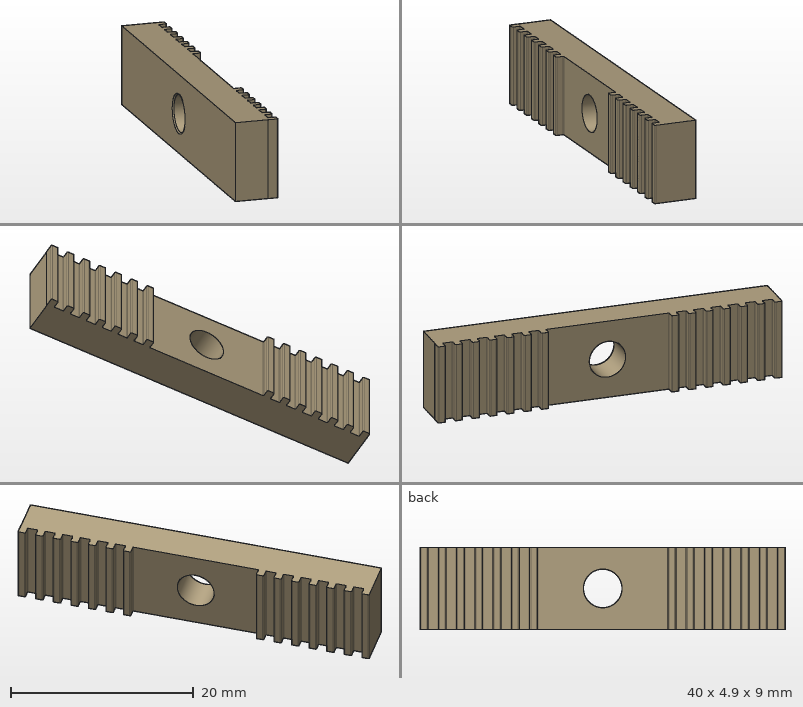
import cadquery as cq

length = 40.0
height = 9.0
body_depth = 4.0
tooth_height = 0.9

pitch = 2.0
tooth_width = 0.86
teeth_per_row = 7
tip_radius = 0.12
root_radius = 0.05
row_length = (teeth_per_row - 1) * pitch + tooth_width

lip_overhang = 0.03
lip_depth_below_floor = 0.25

hole_diameter = 4.2
chamfer_diameter = 4.5
chamfer_angle = 45.0
chamfer_depth = (chamfer_diameter - hole_diameter) / 2

total_depth = body_depth + tooth_height
x_min = -length / 2
x_max = length / 2
x_body_end = x_max - lip_overhang
y_front = -total_depth / 2
y_floor = y_front + body_depth
y_tip = y_floor + tooth_height

pick_margin = 0.01


def block(x_start, x_end, y_start, y_end):
    """Full-height block between the given X and Y limits."""
    center = ((x_start + x_end) / 2, (y_start + y_end) / 2, 0)
    return cq.Workplane("XY").box(x_end - x_start, y_end - y_start, height).translate(center)


def make_body():
    """Plain bar, with the shallow lip under the last +X tooth."""
    bar = block(x_min, x_body_end, y_front, y_floor)
    lip = block(x_min, x_max, y_floor - lip_depth_below_floor, y_floor)
    return bar.union(lip)


def add_tooth_rows(body):
    """Two rows of rectangular teeth, flush with the two ends."""
    for row_start in (x_min, x_max - row_length):
        for index in range(teeth_per_row):
            tooth_start = row_start + index * pitch
            body = body.union(block(tooth_start, tooth_start + tooth_width, y_floor, y_tip))
    return body


def fillet_edges_at(body, y_level, x_margin, radius):
    """Round the edges parallel to Z at one Y level; the X limits grow by x_margin."""
    region = cq.selectors.BoxSelector(
        (x_min - x_margin, y_level - pick_margin, -pick_margin),
        (x_max + x_margin, y_level + pick_margin, pick_margin),
    )
    return body.edges("|Z").edges(region).fillet(radius)


def round_teeth(body):
    """Round all the tooth tips, then the tooth roots between the two end faces."""
    body = fillet_edges_at(body, y_tip, pick_margin, tip_radius)
    return fillet_edges_at(body, y_floor, -pick_margin, root_radius)


def cut_hole(body):
    """Central through hole with a small chamfer at the -Y face."""
    front_plane = cq.Workplane("XZ", origin=(0, y_front, 0))
    drill = front_plane.circle(hole_diameter / 2).extrude(-total_depth)
    cone = front_plane.circle(chamfer_diameter / 2).extrude(-chamfer_depth, taper=chamfer_angle)
    return body.cut(drill).cut(cone)


body = make_body()
toothed_bar = round_teeth(add_tooth_rows(body))
result = cut_hole(toothed_bar)